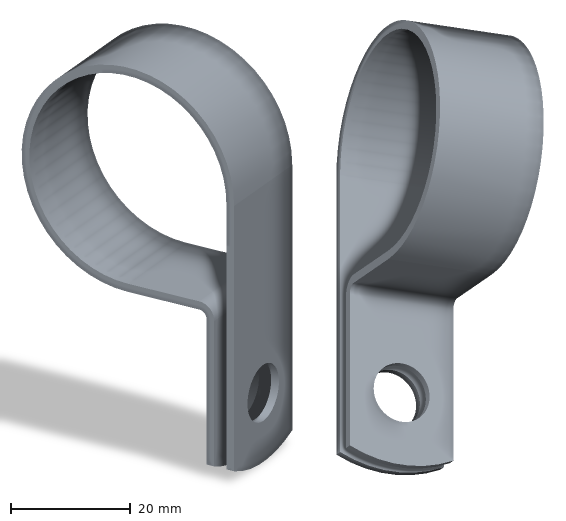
import cadquery as cq
import math

total_height = 71.4
loop_diameter = 41.2
strap_width = 19.05
thickness = 1.5
leg_gap = 2.35
bend_inner_radius = 1.4
hole_diameter = 10.3
hole_above_tip = 12.7
tip_rise = 2.1

outer_radius = loop_diameter / 2
inner_radius = outer_radius - thickness
tip_z = outer_radius - total_height
long_leg_inside = inner_radius
short_leg_right = long_leg_inside - leg_gap
short_leg_left = short_leg_right - thickness
bend_outer_radius = bend_inner_radius + thickness
bend_x = short_leg_right - bend_outer_radius
bend_z = -inner_radius - bend_outer_radius
diagonal = math.sqrt(0.5)


def strap():
    """Constant-thickness band: long leg, three-quarter loop, flat, bend and short leg."""
    return (
        cq.Workplane("XZ")
        .moveTo(outer_radius, tip_z)
        .lineTo(outer_radius, 0)
        .threePointArc((-outer_radius * diagonal, outer_radius * diagonal), (0, -outer_radius))
        .lineTo(bend_x, -outer_radius)
        .threePointArc(
            (bend_x + bend_inner_radius * diagonal, bend_z + bend_inner_radius * diagonal),
            (short_leg_left, bend_z),
        )
        .lineTo(short_leg_left, tip_z)
        .lineTo(short_leg_right, tip_z)
        .lineTo(short_leg_right, bend_z)
        .threePointArc(
            (bend_x + bend_outer_radius * diagonal, bend_z + bend_outer_radius * diagonal),
            (bend_x, -inner_radius),
        )
        .lineTo(0, -inner_radius)
        .threePointArc((-inner_radius * diagonal, inner_radius * diagonal), (inner_radius, 0))
        .lineTo(long_leg_inside, tip_z)
        .close()
        .extrude(strap_width / 2, both=True)
    )


def side_outline():
    """Block whose rounded lower end trims the tips of both legs."""
    half_width = strap_width / 2
    return (
        cq.Workplane("YZ")
        .moveTo(-half_width, outer_radius)
        .lineTo(-half_width, tip_z + tip_rise)
        .threePointArc((0, tip_z), (half_width, tip_z + tip_rise))
        .lineTo(half_width, outer_radius)
        .close()
        .extrude(outer_radius, both=True)
    )


def bolt_hole():
    """Cylinder along X through both legs."""
    return (
        cq.Workplane("YZ")
        .center(0, tip_z + hole_above_tip)
        .circle(hole_diameter / 2)
        .extrude(outer_radius)
    )


result = strap().intersect(side_outline()).cut(bolt_hole())